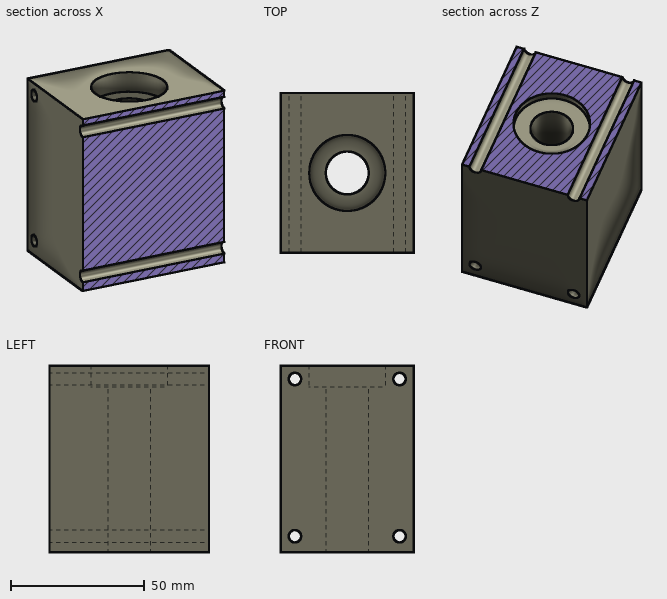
import cadquery as cq

width = 50.0
depth = 60.0
height = 70.0

bore_diameter = 16.0
counterbore_diameter = 28.575
counterbore_depth = 7.94

mount_hole_diameter = 4.57
mount_spacing_x = 39.25
mount_spacing_z = 59.0
mount_top_margin = 5.0


def make_block():
    return cq.Workplane("XY").box(width, depth, height)


def cut_stepped_bore(body):
    return body.faces(">Z").workplane().cboreHole(bore_diameter, counterbore_diameter, counterbore_depth)


def cut_mount_holes(body):
    pattern_centre_z = height / 2 - mount_top_margin - mount_spacing_z / 2
    drills = (
        cq.Workplane("XZ", origin=(0, 0, pattern_centre_z))
        .rarray(mount_spacing_x, mount_spacing_z, 2, 2)
        .circle(mount_hole_diameter / 2)
        .extrude(depth / 2, both=True)
    )
    return body.cut(drills)


result = cut_mount_holes(cut_stepped_bore(make_block()))